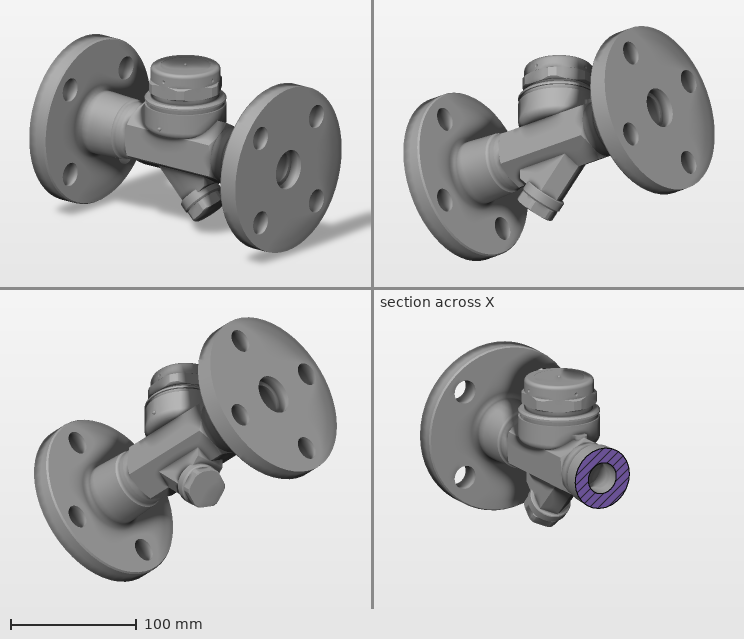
import math

import cadquery as cq


overall_length = 210.0
half_length = overall_length / 2
flange_diameter = 135.0
flange_thickness = 16.0
flange_chamfer_axial = 1.5
flange_chamfer_radial = 1.0
bolt_circle_diameter = 100.0
bolt_hole_diameter = 19.0
bolt_count = 4

neck_diameter = 46.0
neck_end_drop = 0.6
neck_round_end = 48.9
neck_flare_start = 53.5
hub_start = 56.3
hub_end = 85.0
hub_small_radius = 24.4
hub_large_radius = 25.7

socket_diameter = 32.0
socket_depth = 10.0
bore_diameter = 25.0

body_length = 87.5
body_across_flats = 45.0
body_chamfer_radial = 3.5
chamfer_angle = math.radians(30)

bowl_diameter = 65.0
bowl_bottom = 13.0
bowl_round = 5.7
groove_bottom = 34.2
groove_top = 37.8
groove_diameter = 62.0
ring_top = 40.8
ring_chamfer = 1.5
cap_neck_diameter = 54.0
cap_hex_bottom = 44.6
cap_hex_top = 54.8
cap_hex_across_flats = 55.0
cap_hex_round_diameter = 60.0
cap_diameter = 55.5
cap_top = 65.8
cap_round = 3.0
cap_recess_diameter = 40.0
cap_recess_depth = 0.2

mark_diameter = 3.0
dome_diameter = 2.4
dimple_height = 58.5
dimple_depth = 1.0
dimple_count = 4
pin_height = 20.5
pin_projection = 2.0
pin_round = 1.0

tab_center_x = -35.0
tab_radius = 5.0
tab_top = 26.8
tab_fillet = 2.0

branch_tilt = 45.0
branch_origin_z = -25.0
branch_across_flats = 26.0
branch_right_x = 29.5
branch_root = -20.0
branch_end = 21.8
collar_start = 18.6
collar_length = 9.0
collar_end = collar_start + collar_length
collar_diameter = 34.0
collar_top_chamfer = 0.6
collar_chamfer = 1.4
plug_height = 8.8
plug_across_flats = 30.0
plug_round_diameter = 33.0
plug_chamfer_axial = 0.6


def hex_corner_diameter(across_flats):
    """Distance across the corners of a regular hexagon."""
    return 2 * across_flats / math.sqrt(3)


def hex_prism(across_flats, height):
    """Hexagonal prism along +Z with corners on the X axis."""
    return cq.Workplane("XY").polygon(6, hex_corner_diameter(across_flats)).extrude(height)


def turned_blank(diameter, height, chamfer_radial, chamfer_axial):
    """Cylinder along +Z with the same chamfer on both ends."""
    radius = diameter / 2
    outline = [
        (0, 0),
        (radius - chamfer_radial, 0),
        (radius, chamfer_axial),
        (radius, height - chamfer_axial),
        (radius - chamfer_radial, height),
        (0, height),
    ]
    return cq.Workplane("XZ").polyline(outline).close().revolve(360, (0, 0, 0), (0, 1, 0))


def make_body():
    """Hexagonal bar along X, ridge up, with turned ends."""
    corner_diameter = hex_corner_diameter(body_across_flats)
    bar = hex_prism(body_across_flats, body_length)
    chamfer_axial = body_chamfer_radial * math.tan(chamfer_angle)
    blank = turned_blank(corner_diameter, body_length, body_chamfer_radial, chamfer_axial)
    bar = bar.intersect(blank).translate((0, 0, -body_length / 2))
    return bar.rotate((0, 0, 0), (0, 1, 0), 90)


def make_pipe_end():
    """Neck, hub and drilled flange on the +X side."""
    neck_radius = neck_diameter / 2
    flange_radius = flange_diameter / 2
    flange_back = half_length - flange_thickness
    neck_round_length = neck_round_end - body_length / 2
    neck_round_radius = (neck_round_length**2 + neck_end_drop**2) / (2 * neck_end_drop)
    hub_fillet = flange_back - hub_end
    fillet_middle = hub_fillet * math.sqrt(0.5)
    pipe = (
        cq.Workplane("XY")
        .moveTo(0, 0)
        .lineTo(0, neck_radius - neck_end_drop)
        .lineTo(body_length / 2, neck_radius - neck_end_drop)
        .radiusArc((neck_round_end, neck_radius), neck_round_radius)
        .lineTo(neck_flare_start, neck_radius)
        .tangentArcPoint((hub_start, hub_small_radius), relative=False)
        .lineTo(hub_end, hub_large_radius)
        .threePointArc(
            (hub_end + fillet_middle, hub_large_radius + hub_fillet - fillet_middle),
            (flange_back, hub_large_radius + hub_fillet),
        )
        .lineTo(flange_back, flange_radius - flange_chamfer_radial)
        .lineTo(flange_back + flange_chamfer_axial, flange_radius)
        .lineTo(half_length, flange_radius)
        .lineTo(half_length, 0)
        .close()
        .revolve(360, (0, 0, 0), (1, 0, 0))
    )
    bolt_holes = (
        cq.Workplane("YZ", origin=(flange_back, 0, 0))
        .polarArray(bolt_circle_diameter / 2, 360 / bolt_count / 2, 360, bolt_count)
        .circle(bolt_hole_diameter / 2)
        .extrude(flange_thickness)
    )
    return pipe.cut(bolt_holes)


def make_pipe_bore():
    """Socket and blind bore entering from the +X end, down to the body."""
    socket = (
        cq.Workplane("YZ", origin=(half_length - socket_depth, 0, 0))
        .circle(socket_diameter / 2)
        .extrude(socket_depth)
    )
    bore = (
        cq.Workplane("YZ", origin=(body_length / 2, 0, 0))
        .circle(bore_diameter / 2)
        .extrude(half_length - body_length / 2)
    )
    return socket.union(bore)


def make_bowl_and_cap():
    """Turned stack on the Z axis: bowl, groove, ring, neck and cap."""
    bowl_radius = bowl_diameter / 2
    cap_radius = cap_diameter / 2
    bowl_middle = bowl_round * (1 - math.sqrt(0.5))
    cap_middle = cap_round * (1 - math.sqrt(0.5))
    return (
        cq.Workplane("XZ")
        .moveTo(0, bowl_bottom)
        .lineTo(bowl_radius - bowl_round, bowl_bottom)
        .threePointArc(
            (bowl_radius - bowl_middle, bowl_bottom + bowl_middle),
            (bowl_radius, bowl_bottom + bowl_round),
        )
        .lineTo(bowl_radius, groove_bottom)
        .lineTo(groove_diameter / 2, groove_bottom)
        .lineTo(groove_diameter / 2, groove_top)
        .lineTo(bowl_radius, groove_top)
        .lineTo(bowl_radius, ring_top - ring_chamfer)
        .lineTo(bowl_radius - ring_chamfer, ring_top)
        .lineTo(cap_neck_diameter / 2, ring_top)
        .lineTo(cap_neck_diameter / 2, cap_hex_top)
        .lineTo(cap_radius, cap_hex_top)
        .lineTo(cap_radius, cap_top - cap_round)
        .threePointArc(
            (cap_radius - cap_middle, cap_top - cap_middle),
            (cap_radius - cap_round, cap_top),
        )
        .lineTo(cap_recess_diameter / 2, cap_top)
        .lineTo(cap_recess_diameter / 2, cap_top - cap_recess_depth)
        .lineTo(0, cap_top - cap_recess_depth)
        .close()
        .revolve(360, (0, 0, 0), (0, 1, 0))
    )


def make_cap_hex():
    """Wrench hexagon of the cap, with rounded corners and both ends chamfered."""
    height = cap_hex_top - cap_hex_bottom
    chamfer_radial = (cap_hex_round_diameter - cap_diameter) / 2
    chamfer_axial = chamfer_radial * math.tan(chamfer_angle)
    blank = turned_blank(cap_hex_round_diameter, height, chamfer_radial, chamfer_axial)
    return hex_prism(cap_hex_across_flats, height).intersect(blank).translate((0, 0, cap_hex_bottom))


def make_cap_dimples():
    """Conical dimples spaced around the side of the cap."""
    cap_radius = cap_diameter / 2
    dimples = cq.Workplane("XY")
    for index in range(dimple_count):
        angle = math.radians(index * 360 / dimple_count)
        outward = cq.Vector(math.cos(angle), math.sin(angle), 0)
        start = outward * cap_radius + cq.Vector(0, 0, dimple_height)
        cone = cq.Solid.makeCone(mark_diameter / 2, 0, dimple_depth, start, outward * -1)
        dimples = dimples.add(cone)
    return dimples.combine()


def make_top_dome():
    """Small dome in the middle of the cap."""
    return cq.Workplane("XY").sphere(dome_diameter / 2).translate((0, 0, cap_top))


def make_bowl_pin():
    """Round-nosed pin on the -Y side of the bowl."""
    tip_y = -(bowl_diameter / 2 + pin_projection)
    return (
        cq.Workplane("XZ", origin=(0, tip_y, pin_height))
        .circle(mark_diameter / 2)
        .extrude(tip_y / 2)
        .faces("<Y")
        .edges()
        .fillet(pin_round)
    )


def make_tab():
    """Round-ended tab on the body ridge, blended into the bowl with concave fillets."""
    bowl_radius = bowl_diameter / 2
    center_y = tab_radius + tab_fillet
    center_x = -math.sqrt((bowl_radius + tab_fillet) ** 2 - center_y ** 2)
    shrink = bowl_radius / (bowl_radius + tab_fillet)
    touch_x = center_x * shrink
    touch_y = center_y * shrink
    return (
        cq.Workplane("XY", origin=(0, 0, bowl_bottom))
        .moveTo(0, touch_y)
        .lineTo(touch_x, touch_y)
        .radiusArc((center_x, tab_radius), tab_fillet)
        .lineTo(tab_center_x, tab_radius)
        .threePointArc((tab_center_x - tab_radius, 0), (tab_center_x, -tab_radius))
        .lineTo(center_x, -tab_radius)
        .radiusArc((touch_x, -touch_y), tab_fillet)
        .lineTo(0, -touch_y)
        .close()
        .extrude(tab_top - bowl_bottom)
    )


def tilt_to_branch(shape):
    """Turn a shape built along +Z onto the branch axis; its +X side ends up facing down and -X."""
    turned = shape.rotate((0, 0, 0), (0, 1, 0), 180 - branch_tilt)
    return turned.translate((0, 0, branch_origin_z))


def make_branch():
    """Branch with a V-shaped underside and flat sides running up into the body."""
    half_width = branch_across_flats / 2
    corner_radius = hex_corner_diameter(branch_across_flats) / 2
    side_top = -body_across_flats
    outline = [
        (corner_radius, 0),
        (corner_radius / 2, half_width),
        (side_top, half_width),
        (side_top, -half_width),
        (corner_radius / 2, -half_width),
    ]
    branch = (
        cq.Workplane("XY", origin=(0, 0, branch_root))
        .polyline(outline)
        .close()
        .extrude(branch_end - branch_root)
    )
    branch = tilt_to_branch(branch)
    beyond_right = (
        cq.Workplane("XY")
        .box(half_length, flange_diameter, flange_diameter, centered=(False, True, True))
        .translate((branch_right_x, 0, 0))
    )
    above_axis = cq.Workplane("XY").box(
        overall_length, flange_diameter, flange_diameter, centered=(True, True, False)
    )
    return branch.cut(beyond_right).cut(above_axis)


def make_strainer_plug():
    """Round collar and hexagonal plug at the end of the branch."""
    radius = collar_diameter / 2
    collar_outline = [
        (0, collar_start),
        (radius - collar_top_chamfer, collar_start),
        (radius, collar_start + collar_top_chamfer),
        (radius, collar_end - collar_chamfer),
        (radius - collar_chamfer, collar_end),
        (0, collar_end),
    ]
    collar = cq.Workplane("XZ").polyline(collar_outline).close().revolve(360, (0, 0, 0), (0, 1, 0))
    chamfer_radial = plug_chamfer_axial / math.tan(chamfer_angle)
    blank = turned_blank(plug_round_diameter, plug_height, chamfer_radial, plug_chamfer_axial)
    plug = hex_prism(plug_across_flats, plug_height).intersect(blank).translate((0, 0, collar_end))
    return tilt_to_branch(collar.union(plug))


pipe_end = make_pipe_end()
pipe_bore = make_pipe_bore()

result = (
    make_body()
    .union(pipe_end)
    .union(pipe_end.mirror("YZ"))
    .union(make_branch())
    .union(make_strainer_plug())
    .union(make_tab())
    .union(make_bowl_and_cap())
    .union(make_cap_hex())
    .union(make_top_dome())
    .union(make_bowl_pin())
    .cut(make_cap_dimples())
    .cut(pipe_bore)
    .cut(pipe_bore.mirror("YZ"))
)